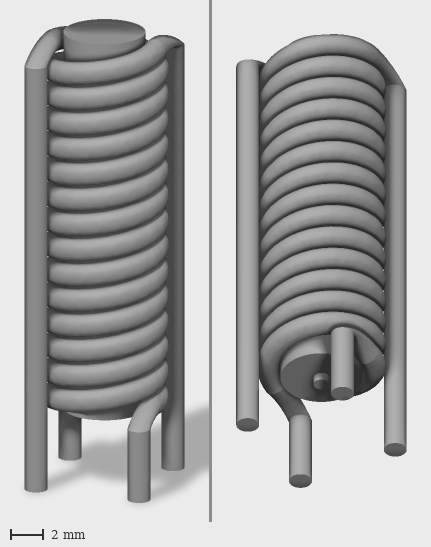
import cadquery as cq
import math

TOTAL_HEIGHT = 28.5
STANDOFF = 4.5

CORE_DIAMETER = 5.0
PIN_DIAMETER = 1.0
PIN_LENGTH = 0.5

WIRE_DIAMETER = 1.4
WIRE_RADIUS = WIRE_DIAMETER / 2
WIRE_COUNT = 2
WIDTH = 7.98
TURNS = 7
WINDING_GAP = 0.03
COIL_RADIUS = CORE_DIAMETER / 2 + WINDING_GAP + WIRE_RADIUS
LEG_OFFSET = WIDTH / 2 - WIRE_RADIUS
LONG_LEG_HEIGHT = 27.02
ARM_DROP = 0.63
COIL_START = STANDOFF + ARM_DROP
COIL_HEIGHT = LONG_LEG_HEIGHT - STANDOFF
PITCH = COIL_HEIGHT / TURNS

BEND_DISTANCE = 2.22
BEND_DROP = 0.17
BEND_THICKNESS = 0.95
BEND_TILT = 45.0


def make_core():
    rod = cq.Workplane("XY", origin=(0, 0, STANDOFF)).circle(CORE_DIAMETER / 2)
    rod = rod.extrude(TOTAL_HEIGHT - STANDOFF)
    pin = cq.Workplane("XY", origin=(0, 0, STANDOFF)).circle(PIN_DIAMETER / 2)
    return rod.union(pin.extrude(-PIN_LENGTH))


def make_coil():
    """Helix that starts and ends on the +X side."""
    path = cq.Wire.makeHelix(PITCH, COIL_HEIGHT, COIL_RADIUS)
    coil = cq.Workplane("XZ", origin=(COIL_RADIUS, 0, 0)).circle(WIRE_RADIUS)
    coil = coil.sweep(cq.Workplane(path), isFrenet=True)
    return coil.translate((0, 0, COIL_START))


def make_leg(side, height):
    """Upright leg on the +X side; side is +1 or -1 along Y."""
    leg = cq.Workplane("XY", origin=(LEG_OFFSET, side * LEG_OFFSET, 0))
    return leg.circle(WIRE_RADIUS).extrude(height)


def make_arm(side, leg_height):
    """Smooth transition from an upright coil section to a level leg section."""
    coil_end_z = leg_height + ARM_DROP
    bend_x = COIL_RADIUS + (LEG_OFFSET - COIL_RADIUS) * BEND_DISTANCE / LEG_OFFSET
    tilt = math.radians(BEND_TILT)
    inward = cq.Vector(-1, 0, 0)

    coil_centre = cq.Vector(COIL_RADIUS, 0, coil_end_z)
    bend_centre = cq.Vector(bend_x, side * BEND_DISTANCE, coil_end_z - BEND_DROP)
    leg_centre = cq.Vector(LEG_OFFSET, side * LEG_OFFSET, leg_height)
    coil_normal = cq.Vector(0, side, 0)
    bend_normal = cq.Vector(0, side * math.cos(tilt), -math.sin(tilt))
    leg_normal = cq.Vector(0, 0, -1)

    coil_section = cq.Workplane(cq.Plane(coil_centre, inward, coil_normal)).circle(WIRE_RADIUS)
    bend_section = cq.Workplane(cq.Plane(bend_centre, inward, bend_normal))
    bend_section = bend_section.ellipse(WIRE_RADIUS, BEND_THICKNESS / 2)
    leg_section = cq.Workplane(cq.Plane(leg_centre, inward, leg_normal)).circle(WIRE_RADIUS)
    sections = [outline.val() for outline in (coil_section, bend_section, leg_section)]
    return cq.Workplane(cq.Solid.makeLoft(sections))


def make_wire():
    """Wire with its long leg at +X +Y and its short leg at +X -Y."""
    wire = make_coil()
    for side, leg_height in ((1, LONG_LEG_HEIGHT), (-1, STANDOFF)):
        wire = wire.union(make_arm(side, leg_height))
        wire = wire.union(make_leg(side, leg_height))
    return wire


core = make_core()

wires = []
for index in range(WIRE_COUNT):
    angle = index * 360 / WIRE_COUNT
    wires.append(make_wire().rotate((0, 0, 0), (0, 0, 1), angle).solids().val())

result = cq.Compound.makeCompound([core.solids().val(), *wires])